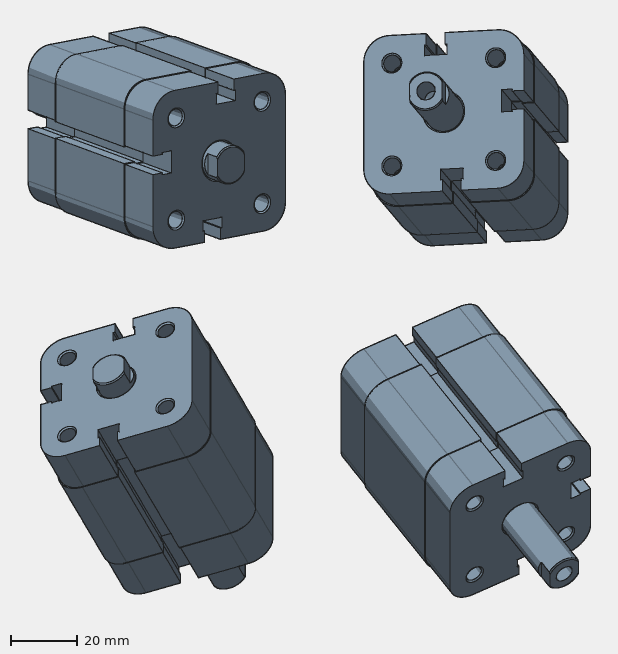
import cadquery as cq
import math


BARREL_SIDE = 50.0
BARREL_LENGTH = 35.5
CAP_INSET = 0.3
CAP_SIDE = BARREL_SIDE - 2 * CAP_INSET
CAP_LENGTH = 14.5
CORNER_RADIUS = 8.0

SLOT_OFFSET = 2.5
SLOT_NECK_WIDTH = 5.2
SLOT_FOOT_WIDTH = 6.4
SLOT_SHOULDER = 21.1
SLOT_FLOOR = 17.9
SLOT_TURNS = (0, 90, 180)

MOUNT_HOLE_DIAMETER = 5.2
MOUNT_HOLE_SPACING = 32.0
MOUNT_HOLE_CHAMFER = 0.5

ROD_DIAMETER = 12.0
ROD_FRONT_REACH = 26.0
ROD_LENGTH = 96.5
ROD_END_CHAMFER = 0.4
BORE_CHAMFER = 0.5
FLAT_WIDTH = 10.0
FLAT_LENGTH = 5.0
FLAT_RUNOUT = 0.3
ROD_HOLE_DIAMETER = 5.6
ROD_HOLE_DEPTH = 11.6
DRILL_POINT_ANGLE = 118.0

CAP_OUTER_X = BARREL_LENGTH / 2 + CAP_LENGTH
ROD_START_X = -CAP_OUTER_X - ROD_FRONT_REACH
ROD_END_X = ROD_START_X + ROD_LENGTH


def yz_plane(x):
    """YZ sketch plane at the given X, facing +X."""
    return cq.Workplane("YZ", origin=(x, 0, 0))


def slot_cutter(x, length, inset):
    """Undercut slot in the +Z face; inset widens it on both sides."""
    neck = SLOT_NECK_WIDTH / 2 + inset
    foot = SLOT_FOOT_WIDTH / 2 + inset
    outside = BARREL_SIDE / 2 + CAP_INSET
    outline = [
        (-neck, outside),
        (-neck, SLOT_SHOULDER),
        (-foot, SLOT_SHOULDER),
        (-foot, SLOT_FLOOR),
        (foot, SLOT_FLOOR),
        (foot, SLOT_SHOULDER),
        (neck, SLOT_SHOULDER),
        (neck, outside),
    ]
    points = [(SLOT_OFFSET + y, z) for y, z in outline]
    return yz_plane(x).polyline(points).close().extrude(length)


def profile_block(x, length, side, inset):
    """Rounded square block with its slots, mounting holes and rod bore."""
    block = yz_plane(x).rect(side, side).extrude(length)
    block = block.edges("|X").fillet(CORNER_RADIUS)
    slot = slot_cutter(x, length, inset)
    for turn in SLOT_TURNS:
        block = block.cut(slot.rotate((0, 0, 0), (1, 0, 0), turn))
    holes = (
        yz_plane(x)
        .rect(MOUNT_HOLE_SPACING, MOUNT_HOLE_SPACING, forConstruction=True)
        .vertices()
        .circle(MOUNT_HOLE_DIAMETER / 2)
        .extrude(length)
    )
    bore = yz_plane(x).circle(ROD_DIAMETER / 2).extrude(length)
    return block.cut(holes).cut(bore)


def make_barrel():
    return profile_block(-BARREL_LENGTH / 2, BARREL_LENGTH, BARREL_SIDE, 0)


def countersink(x, y, z, diameter, chamfer):
    """Cone that chamfers the mouth of a hole in a face looking toward -X."""
    mouth = diameter / 2 + chamfer
    cone = cq.Solid.makeCone(mouth, 0, mouth, cq.Vector(x, y, z), cq.Vector(1, 0, 0))
    return cq.Workplane(cone)


def make_front_cap():
    """End cap on the -X side, with its hole mouths chamfered."""
    cap = profile_block(-CAP_OUTER_X, CAP_LENGTH, CAP_SIDE, CAP_INSET)
    reach = MOUNT_HOLE_SPACING / 2
    for y in (-reach, reach):
        for z in (-reach, reach):
            cap = cap.cut(countersink(-CAP_OUTER_X, y, z, MOUNT_HOLE_DIAMETER, MOUNT_HOLE_CHAMFER))
    return cap.cut(countersink(-CAP_OUTER_X, 0, 0, ROD_DIAMETER, BORE_CHAMFER))


def make_rear_cap(front_cap):
    """End cap on the +X side, the mirror image of the front one."""
    return front_cap.mirror("YZ")


def flat_cutter(x, inward):
    """Cutter for the +Y wrench flat at the rod end x; inward is the X direction into the rod."""
    flat_y = FLAT_WIDTH / 2
    round_y = ROD_DIAMETER / 2
    flat_end = x + inward * FLAT_LENGTH
    outline = [
        (x, flat_y),
        (flat_end, flat_y),
        (flat_end + inward * FLAT_RUNOUT, round_y),
        (x, round_y),
    ]
    return cq.Workplane("XY").polyline(outline).close().extrude(ROD_DIAMETER / 2, both=True)


def rod_hole():
    """Blind drilled hole with a conical bottom, in the -X end of the rod."""
    radius = ROD_HOLE_DIAMETER / 2
    point_length = radius / math.tan(math.radians(DRILL_POINT_ANGLE / 2))
    outline = [
        (ROD_START_X, 0),
        (ROD_START_X, radius),
        (ROD_START_X + ROD_HOLE_DEPTH, radius),
        (ROD_START_X + ROD_HOLE_DEPTH + point_length, 0),
    ]
    return cq.Workplane("XY").polyline(outline).close().revolve(360, (0, 0, 0), (1, 0, 0))


def make_rod():
    """Round rod with chamfered ends, two wrench flats at each end and a blind hole in front."""
    rod = yz_plane(ROD_START_X).circle(ROD_DIAMETER / 2).extrude(ROD_LENGTH)
    rod = rod.faces("<X or >X").chamfer(ROD_END_CHAMFER)
    for x, inward in ((ROD_START_X, 1), (ROD_END_X, -1)):
        flat = flat_cutter(x, inward)
        rod = rod.cut(flat).cut(flat.mirror("XZ"))
    return rod.cut(rod_hole())


barrel = make_barrel()
front_cap = make_front_cap()
rear_cap = make_rear_cap(front_cap)
rod = make_rod()

result = cq.Compound.makeCompound([barrel.val(), front_cap.val(), rear_cap.val(), rod.val()])